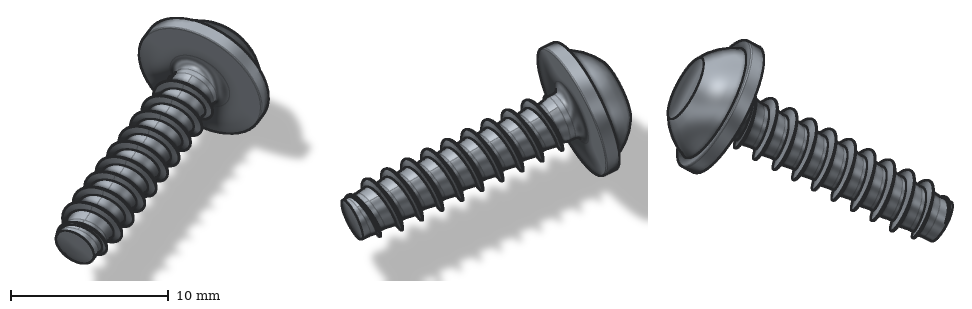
import cadquery as cq
import math


TOTAL_LENGTH = 19.1
HEAD_HEIGHT = 3.1
FLANGE_RADIUS = 9.0 / 2
FLANGE_HEIGHT = 1.0
FLANGE_EDGE_FILLET = 0.08
DOME_TOP_RADIUS = 2.18
DOME_SPHERE_RADIUS = 4.15

SHANK_LENGTH = TOTAL_LENGTH - HEAD_HEIGHT
NECK_RADIUS = 1.57
NECK_FILLET = 0.61
NECK_END_DEPTH = 1.0
CORE_START_DEPTH = 1.65
CORE_RADIUS = 1.4
TIP_CONE_HEIGHT = 0.05

CREST_HEIGHT = 1.99 - CORE_RADIUS
CREST_WIDTH = 0.08
FLANK_SLOPE = 0.36
RELIEF_HEIGHT = 0.11
RELIEF_RUN = 0.73
PITCH = 11.67 / 8
PHASE_DEPTH = 3.2
THREAD_START_DEPTH = 0.65
FULL_THREAD_START_DEPTH = 2.39
FULL_THREAD_END_DEPTH = 13.95
THREAD_END_DEPTH = 15.85
START_FRACTION = 0.4
END_FRACTION = 0.05
ROOT_OVERLAP = 0.1
STEPS_PER_TURN = 24
FUSE_TOLERANCE = 0.001


def make_body():
    """Head, neck and plain core as one turned profile (radius, Y)."""
    sphere_center = HEAD_HEIGHT - math.sqrt(DOME_SPHERE_RADIUS**2 - DOME_TOP_RADIUS**2)
    dome_base_angle = math.asin((FLANGE_HEIGHT - sphere_center) / DOME_SPHERE_RADIUS)
    dome_top_angle = math.acos(DOME_TOP_RADIUS / DOME_SPHERE_RADIUS)

    def on_dome(angle):
        return (
            DOME_SPHERE_RADIUS * math.cos(angle),
            sphere_center + DOME_SPHERE_RADIUS * math.sin(angle),
        )

    fillet_mid = NECK_FILLET * (1 - math.sqrt(0.5))
    profile = (
        cq.Workplane("ZY")
        .moveTo(0, -SHANK_LENGTH)
        .lineTo(CORE_RADIUS, -SHANK_LENGTH + TIP_CONE_HEIGHT)
        .lineTo(CORE_RADIUS, -CORE_START_DEPTH)
        .lineTo(NECK_RADIUS, -NECK_END_DEPTH)
        .lineTo(NECK_RADIUS, -NECK_FILLET)
        .threePointArc((NECK_RADIUS + fillet_mid, -fillet_mid), (NECK_RADIUS + NECK_FILLET, 0))
        .lineTo(FLANGE_RADIUS, 0)
        .lineTo(FLANGE_RADIUS, FLANGE_HEIGHT)
        .lineTo(*on_dome(dome_base_angle))
        .threePointArc(on_dome((dome_base_angle + dome_top_angle) / 2), on_dome(dome_top_angle))
        .lineTo(0, HEAD_HEIGHT)
        .close()
    )
    body = profile.revolve(360, (0, 0, 0), (0, 1, 0))
    rim = cq.selectors.RadiusNthSelector(-1)
    return body.edges("%CIRCLE").edges(rim).fillet(FLANGE_EDGE_FILLET)


def thread_fraction(depth):
    """Height of the thread at a crest depth, as a share of its full height."""
    if depth < FULL_THREAD_START_DEPTH:
        progress = (depth - THREAD_START_DEPTH) / (FULL_THREAD_START_DEPTH - THREAD_START_DEPTH)
        return START_FRACTION + (1 - START_FRACTION) * math.sin(progress * math.pi / 2)
    if depth > FULL_THREAD_END_DEPTH:
        progress = (depth - FULL_THREAD_END_DEPTH) / (THREAD_END_DEPTH - FULL_THREAD_END_DEPTH)
        return 1 + (END_FRACTION - 1) * progress
    return 1.0


def thread_section(depth):
    """Corners of the thread section as (depth, radius), from the head side round to the tip side."""
    fraction = thread_fraction(depth)
    crest = CREST_HEIGHT * fraction
    relief_share = fraction if depth > FULL_THREAD_END_DEPTH else 1.0
    relief = RELIEF_HEIGHT * relief_share
    half_crest = CREST_WIDTH / 2
    relief_start = half_crest + (crest - relief) * FLANK_SLOPE
    relief_end = relief_start + RELIEF_RUN * relief_share
    corners = [
        (-half_crest - (crest + ROOT_OVERLAP) * FLANK_SLOPE, -ROOT_OVERLAP),
        (-half_crest, crest),
        (half_crest, crest),
        (relief_start, relief),
        (relief_end, 0),
        (relief_end, -ROOT_OVERLAP),
    ]
    return [(depth + along, CORE_RADIUS + height) for along, height in corners]


def section_corners(depth):
    """Corners of the thread section in space, on the ray where the crest reaches this depth."""
    angle = 2 * math.pi * (depth - PHASE_DEPTH) / PITCH
    return [
        cq.Vector(radius * math.cos(angle), -along, radius * math.sin(angle))
        for along, radius in thread_section(depth)
    ]


def make_thread_turn(start_depth, end_depth):
    """One stretch of the right-handed ridge, ruled between the paths of neighbouring corners."""
    steps = math.ceil((end_depth - start_depth) / PITCH * STEPS_PER_TURN)
    sections = [
        section_corners(start_depth + (end_depth - start_depth) * step / steps)
        for step in range(steps + 1)
    ]
    paths = [cq.Edge.makeSpline(list(corners)) for corners in zip(*sections)]
    faces = [cq.Face.makeRuledSurface(paths[i - 1], paths[i]) for i in range(len(paths))]
    for end in (sections[0], sections[-1]):
        faces.append(cq.Face.makeFromWires(cq.Wire.makePolygon(end, close=True)))
    return cq.Solid.makeSolid(cq.Shell.makeShell(faces))


def make_thread():
    """The whole ridge as touching solids of one turn each, the last one shorter."""
    turns = math.ceil((THREAD_END_DEPTH - THREAD_START_DEPTH) / PITCH)
    starts = [THREAD_START_DEPTH + turn * PITCH for turn in range(turns)]
    solids = [make_thread_turn(start, min(start + PITCH, THREAD_END_DEPTH)) for start in starts]
    above_neck_end = cq.Solid.makeCylinder(
        FLANGE_RADIUS, HEAD_HEIGHT, cq.Vector(0, -NECK_END_DEPTH, 0), cq.Vector(0, 1, 0)
    )
    return [solids[0].cut(above_neck_end)] + solids[1:]


screw = make_body().val().fuse(*make_thread(), tol=FUSE_TOLERANCE)
result = cq.Workplane(screw.Solids()[0])